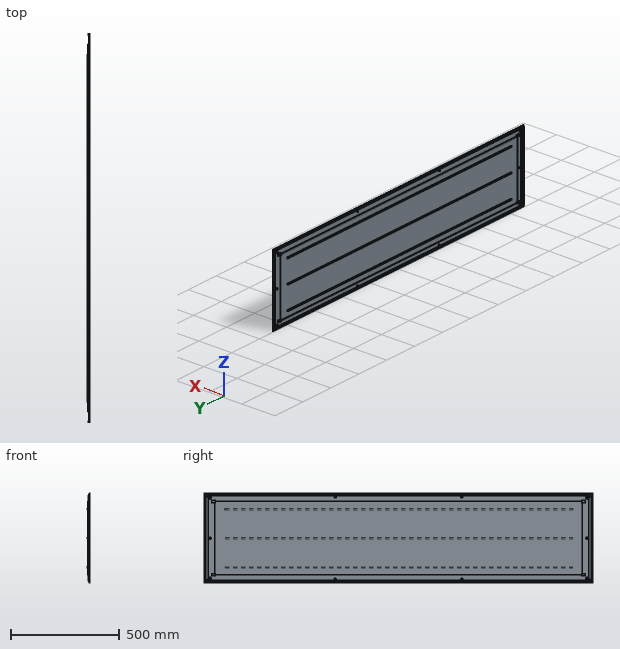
import cadquery as cq

LENGTH = 1797.0
HEIGHT = 415.0
DEPTH = 10.0
BACK_X = DEPTH / 2
CREST_X = -DEPTH / 2
FACE_X = 0.9
BEVEL_WIDTH = 8.0
BEVEL_DROP = BACK_X - FACE_X

RIM_X = -0.4
RIM_WIDTH = 6.0
RIM_SLOPE_WIDTH = 2.2

FIELD_LENGTH = 1698.0
FIELD_HEIGHT = 340.0
FIELD_X = -2.9
FIELD_ROUND = 2.7

RIB_RADIUS = 3.8
RIB_PITCH = 135.0
RIB_LENGTH = 1610.0

SLOT_INNER_Y = 846.0
SLOT_LENGTH = 16.0
SLOT_HEIGHT = 10.5
SLOT_Z = FIELD_HEIGHT / 2

HOLE_DIAMETER = 7.0
HOLE_Y = 872.0
HOLE_Z = 190.0
SIDE_HOLE_Y = 293.0

SLIT_LENGTH = 16.0
SLIT_WIDTH = 7.0
SLIT_ANGLE = 45
SLIT_Y = 875.0
SLIT_Z = 189.0

BACKING_LENGTH = 1761.0
BACKING_HEIGHT = 392.0
BACKING_THICKNESS = 2.0
BACKING_X = BACK_X - BACKING_THICKNESS


def slab(front_x, back_x, length, height, y=0.0, z=0.0):
    """Box between two X levels, centred at (y, z)."""
    return (
        cq.Workplane("XY")
        .box(back_x - front_x, length, height)
        .translate(((front_x + back_x) / 2, y, z))
    )


def border_plate():
    """Plate whose long edges slope back from the rim level to a thin outer edge."""
    rim_half_height = HEIGHT / 2 - BEVEL_WIDTH * (BACK_X - RIM_X) / BEVEL_DROP
    section = [
        (BACK_X, -HEIGHT / 2),
        (RIM_X, -rim_half_height),
        (RIM_X, rim_half_height),
        (BACK_X, HEIGHT / 2),
    ]
    return cq.Workplane("XZ").polyline(section).close().extrude(LENGTH / 2, both=True)


def border_recess():
    """Space in front of the border face, sloping up to the rim at both ends."""
    crest_y = LENGTH / 2 - RIM_WIDTH
    foot_y = crest_y - RIM_SLOPE_WIDTH
    profile = [(RIM_X, -crest_y), (FACE_X, -foot_y), (FACE_X, foot_y), (RIM_X, crest_y)]
    return cq.Workplane("XY").polyline(profile).close().extrude(HEIGHT / 2, both=True)


def raised_field():
    field = slab(FIELD_X, BACKING_X, FIELD_LENGTH, FIELD_HEIGHT)
    return field.faces("<X").edges().fillet(FIELD_ROUND)


def rib(z):
    """Round bar with spherical ends, partly buried in the raised field."""
    bar_half_length = RIB_LENGTH / 2 - RIB_RADIUS
    profile = (
        cq.Workplane("XY")
        .moveTo(0, -RIB_LENGTH / 2)
        .radiusArc((RIB_RADIUS, -bar_half_length), -RIB_RADIUS)
        .lineTo(RIB_RADIUS, bar_half_length)
        .radiusArc((0, RIB_LENGTH / 2), -RIB_RADIUS)
        .close()
    )
    bar = profile.revolve(360, (0, 0, 0), (0, 1, 0))
    return bar.translate((CREST_X + RIB_RADIUS, 0, z))


def fixing_holes():
    """Drills for one hole in each end and two in each long side, plus the four corners."""
    places = []
    for side_y in (-1, 1):
        places.append((side_y * HOLE_Y, 0))
        for side_z in (-1, 1):
            places.append((side_y * HOLE_Y, side_z * HOLE_Z))
            places.append((side_y * SIDE_HOLE_Y, side_z * HOLE_Z))
    return (
        cq.Workplane("YZ", origin=(RIM_X, 0, 0))
        .pushPoints(places)
        .circle(HOLE_DIAMETER / 2)
        .extrude(BACK_X - RIM_X)
    )


def corner_cuts(side_y, side_z):
    """Relief slot and diagonal slit at one corner, down to the backing plate."""
    slot_y = side_y * (SLOT_INNER_Y + SLOT_LENGTH / 2)
    slot = slab(CREST_X, BACKING_X, SLOT_LENGTH, SLOT_HEIGHT, slot_y, side_z * SLOT_Z)
    slit = (
        slab(RIM_X, BACKING_X, SLIT_LENGTH, SLIT_WIDTH)
        .rotate((0, 0, 0), (1, 0, 0), SLIT_ANGLE * side_y * side_z)
        .translate((0, side_y * SLIT_Y, side_z * SLIT_Z))
    )
    return slot.union(slit)


def make_backing():
    return slab(BACKING_X, BACK_X, BACKING_LENGTH, BACKING_HEIGHT).cut(fixing_holes())


def make_cover():
    cover = border_plate().cut(border_recess()).union(raised_field())
    for row in (-1, 0, 1):
        cover = cover.union(rib(row * RIB_PITCH))
    cover = cover.cut(slab(BACKING_X, BACK_X, BACKING_LENGTH, BACKING_HEIGHT))
    for side_y in (-1, 1):
        for side_z in (-1, 1):
            cover = cover.cut(corner_cuts(side_y, side_z))
    return cover.cut(fixing_holes())


cover = make_cover()
backing = make_backing()

result = cq.Compound.makeCompound([cover.val(), backing.val()])